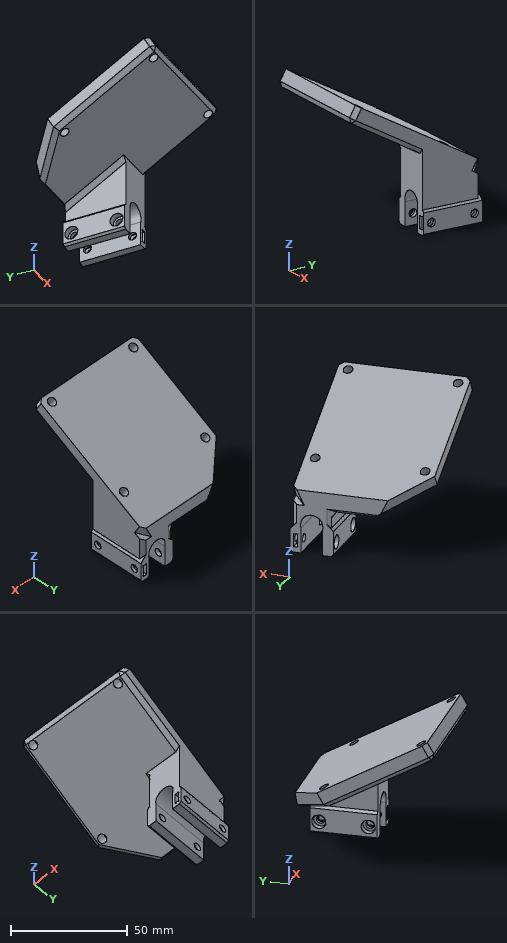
import cadquery as cq
import math


tilt = 30.0
plate_width = 60.0
plate_thickness = 8.0
bevel = 2.1
plate_front_y = -62.8
plate_top_z = 65.25
corner_cut = 16.45
back_overrun = 7.9
plate_hole_diameter = 4.15
plate_hole_pitch = 50.0
plate_hole_front_margin = 4.1
back_relief_z = 21.7
back_relief = 1.2

total_width = 61.0
clevis_width = 19.8
clevis_depth = 30.0
neck_left = 42.4
ledge_left_z = 12.95
ledge_right_z = 11.8
leg_chamfer = 1.0
arch_radius = 5.05
arch_z = 12.95
slot_width = 9.75
neck_bevel_width = 3.8

bolt_z = 5.6
bolt_end_margin = 4.0
bolt_diameter = 3.75
head_diameter = 6.2
head_depth = 3.0
nut_thickness = 2.0
nut_width = 5.9
nut_left = 57.5

slope = math.tan(math.radians(tilt))
cos_tilt = math.cos(math.radians(tilt))
plate_back_z = plate_top_z + plate_front_y * slope
plate_front = plate_front_y / cos_tilt
clevis_left = total_width - clevis_width
clevis_middle = total_width - clevis_width / 2
ledge_left = neck_left - clevis_left
ledge_right = total_width - plate_width
shoulder = plate_thickness - bevel
bolt_places = (-bolt_end_margin, bolt_end_margin - clevis_depth)

plate_frame = cq.Plane(
    origin=(0, 0, plate_back_z),
    xDir=(1, 0, 0),
    normal=(0, math.sin(math.radians(tilt)), cos_tilt),
)


def make_corner_cutter(corner_x, inward_angle):
    """Cuts a front corner flat, leaning inward to the corner of the underside."""
    flat = bevel / math.sqrt(2)
    profile = [
        (-bevel, 0),
        (flat, 0),
        (flat, -shoulder),
        (2 * flat, -plate_thickness),
        (-bevel, -plate_thickness),
    ]
    cutter = cq.Workplane("XZ").polyline(profile).close().extrude(2 * bevel, both=True)
    cutter = cutter.rotate((0, 0, 0), (0, 0, 1), inward_angle)
    return cutter.translate((corner_x, plate_front, 0))


def make_plate():
    """Bevelled plate, overrunning the back plane and then trimmed to it."""
    outline = [
        (0, plate_front),
        (plate_width, plate_front),
        (plate_width, -bevel),
        (plate_width - bevel - back_overrun, back_overrun),
        (corner_cut + back_overrun, back_overrun),
        (0, -corner_cut),
    ]
    slab = cq.Workplane("XY").polyline(outline).close().extrude(-plate_thickness)
    slab = slab.faces("<Z").chamfer(bevel)
    for corner_x, inward_angle in ((0, 45), (plate_width, 135)):
        slab = slab.cut(make_corner_cutter(corner_x, inward_angle))
    hole_middle_y = plate_front + plate_hole_front_margin + plate_hole_pitch / 2
    slab = slab.cut(
        cq.Workplane("XY")
        .center(plate_width / 2, hole_middle_y)
        .rect(plate_hole_pitch, plate_hole_pitch, forConstruction=True)
        .vertices()
        .circle(plate_hole_diameter / 2)
        .extrude(-plate_thickness)
    )
    tilted = slab.val().moved(cq.Location(plate_frame))
    back_trim = [
        (0, plate_top_z),
        (0, back_relief_z),
        (-back_relief_z, 0),
        (back_overrun, 0),
        (back_overrun, plate_top_z),
    ]
    trim = cq.Workplane("YZ").polyline(back_trim).close().extrude(plate_width)
    return cq.Workplane(obj=tilted).cut(trim)


def make_gusset():
    """45 degree wedge between the plate's underside and the neck's left side."""
    frame = cq.Plane(
        origin=(0, 0, plate_back_z),
        xDir=(1, 0, 0),
        normal=plate_frame.yDir.toTuple(),
    )
    wedge = [
        (neck_left - bevel, plate_thickness),
        (neck_left, plate_thickness + bevel),
        (neck_left + bevel, plate_thickness + bevel),
        (neck_left + bevel, shoulder),
        (neck_left - bevel, shoulder),
    ]
    run = clevis_depth / cos_tilt + 2 * back_overrun
    rod = cq.Workplane(frame).polyline(wedge).close().extrude(run, both=True)
    bounds = cq.Workplane("XY").box(total_width, clevis_depth, plate_top_z, centered=False)
    return rod.intersect(bounds.translate((0, -clevis_depth, 0)))


def make_neck():
    """Upright neck reaching into the plate, with bevels on both back edges."""
    top_back = plate_back_z - shoulder / cos_tilt
    side = [
        (0, arch_z - arch_radius),
        (0, top_back),
        (-clevis_depth, top_back + clevis_depth * slope),
        (-clevis_depth, arch_z - arch_radius),
    ]
    neck = (
        cq.Workplane("YZ", origin=(neck_left, 0, 0))
        .polyline(side)
        .close()
        .extrude(plate_width - neck_left)
        .union(make_gusset())
    )
    left_bevel = [
        (neck_left - bevel, -back_relief),
        (neck_left - bevel, 0),
        (neck_left - bevel + neck_bevel_width, 0),
    ]
    right_bevel = [
        (plate_width - bevel, 0),
        (plate_width, 0),
        (plate_width, -bevel * cos_tilt),
    ]
    for bevel_outline in (left_bevel, right_bevel):
        neck = neck.cut(cq.Workplane("XY").polyline(bevel_outline).close().extrude(plate_top_z))
    return neck


def make_feet():
    """Foot block whose 45 degree ledges run on into the neck, later split into two legs."""
    outline = [
        (clevis_left + leg_chamfer, 0),
        (total_width - leg_chamfer, 0),
        (total_width, leg_chamfer),
        (total_width, ledge_right_z - ledge_right),
        (plate_width - bevel, ledge_right_z + bevel),
        (neck_left + bevel, ledge_left_z + bevel),
        (clevis_left, ledge_left_z - ledge_left),
        (clevis_left, leg_chamfer),
    ]
    return cq.Workplane("XZ").polyline(outline).close().extrude(clevis_depth)


def make_arch():
    """Slot between the legs, ending in a slightly wider round arch."""
    slot = (
        cq.Workplane("XZ")
        .center(clevis_middle, arch_z / 2)
        .rect(slot_width, arch_z)
        .extrude(clevis_depth)
    )
    bore = (
        cq.Workplane("XZ")
        .center(clevis_middle, arch_z)
        .circle(arch_radius)
        .extrude(clevis_depth)
    )
    return slot.union(bore)


def make_bolt_cutter(y):
    """Cross bolt hole with a head counterbore on the left leg."""
    start = cq.Workplane("YZ", origin=(clevis_left, y, bolt_z))
    shank = start.circle(bolt_diameter / 2).extrude(clevis_width)
    return shank.union(start.circle(head_diameter / 2).extrude(head_depth))


def make_nut_pocket(end_y, inward):
    """Nut pocket entering the right leg from one end and reaching past its bolt."""
    depth = bolt_end_margin + nut_width / 2
    return cq.Workplane("XY").box(nut_thickness, depth, nut_width).translate(
        (nut_left + nut_thickness / 2, end_y + inward * depth / 2, bolt_z)
    )


result = make_plate().union(make_neck()).union(make_feet()).cut(make_arch())
for bolt_y in bolt_places:
    result = result.cut(make_bolt_cutter(bolt_y))
for pocket_end, pocket_direction in ((0, -1), (-clevis_depth, 1)):
    result = result.cut(make_nut_pocket(pocket_end, pocket_direction))